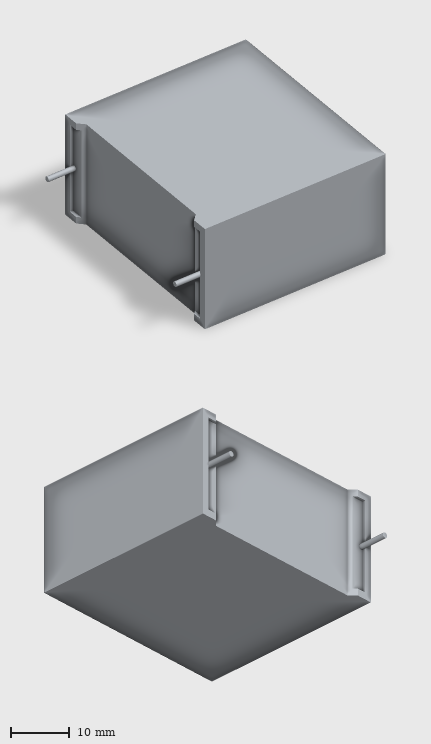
import cadquery as cq

overall_length = 43.0
case_width = 41.0
case_length = 37.95
case_height = 21.0
back_edge_radius = 0.5

foot_width = 3.2
channel_depth = 1.25

rim_width = 1.38
recess_depth = 0.65

lead_diameter = 1.05
lead_pitch = 37.5

foot_y = overall_length - case_length
recess_y = foot_y + recess_depth
channel_y = foot_y + channel_depth


def centred_block(width, height, y_start, y_end):
    """Block centred on X and Z that runs from y_start to y_end."""
    return cq.Workplane("XZ").rect(width, height).extrude(-(y_end - y_start)).translate((0, y_start, 0))


def make_channel():
    """Cutter for the channel: full height, with sides at 45 degrees."""
    half_mouth = case_width / 2 - foot_width
    half_floor = half_mouth - channel_depth
    outline = [
        (-half_mouth, foot_y),
        (half_mouth, foot_y),
        (half_floor, channel_y),
        (-half_floor, channel_y),
    ]
    return cq.Workplane("XY").polyline(outline).close().extrude(case_height / 2, both=True)


def make_recess():
    """Cutter for the recess: the deeper channel leaves only its two ends, one in each foot."""
    return centred_block(case_width - 2 * rim_width, case_height - 2 * rim_width, foot_y, recess_y)


def make_lead(x):
    """Round lead that stands on the recess floor."""
    return cq.Workplane("XZ").center(x, 0).circle(lead_diameter / 2).extrude(-recess_y)


def make_case(leads):
    """Case with rounded back edges; each lead also bites a little into the rim of its recess."""
    case = centred_block(case_width, case_height, foot_y, overall_length)
    case = case.faces(">Y").edges().fillet(back_edge_radius)
    case = case.cut(make_channel()).cut(make_recess())
    for lead in leads:
        case = case.cut(lead)
    return case


leads = [make_lead(x) for x in (-lead_pitch / 2, lead_pitch / 2)]
case = make_case(leads)

result = cq.Compound.makeCompound([case.val(), *[lead.val() for lead in leads]])